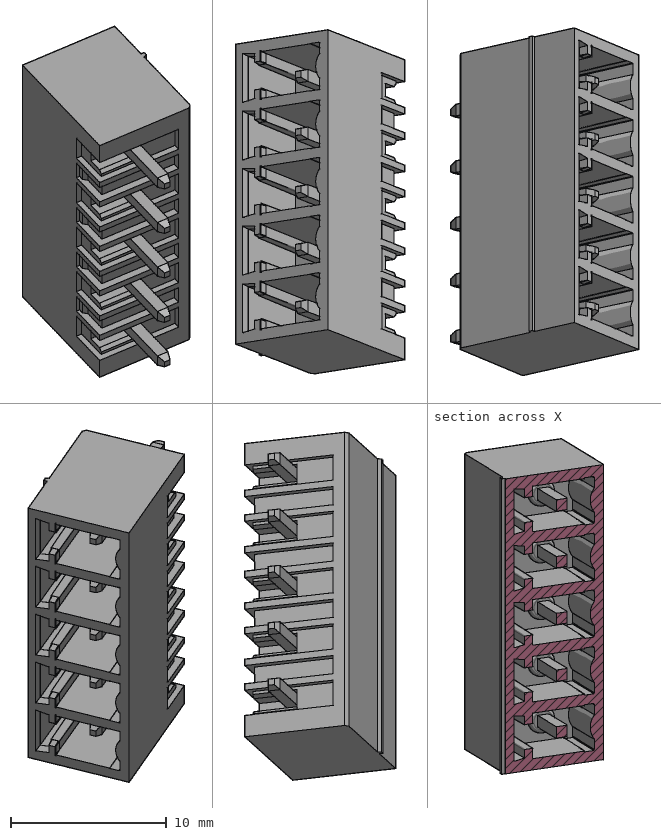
import cadquery as cq
import math

OVERALL_DEPTH = 7.25
HOUSING_LENGTH = 9.23
HOUSING_DEPTH = 7.0
HOUSING_HEIGHT = 19.85
CORNER_CHAMFER = 0.22
POLES = 5
POLE_PITCH = 3.81
FIRST_POLE_Z = (HOUSING_HEIGHT - (POLES - 1) * POLE_PITCH) / 2
pole_heights = [FIRST_POLE_Z + i * POLE_PITCH for i in range(POLES)]
gap_heights = [z + POLE_PITCH / 2 for z in pole_heights[:-1]]

RIB_START = 3.15
RIB_WIDTH = 0.38
RIB_TOP_WIDTH = 0.25
RIB_HEIGHT = OVERALL_DEPTH - HOUSING_DEPTH

CAVITY_DEPTH = 6.15
CAVITY_FRONT_Y = 0.64
CAVITY_BACK_Y = 6.41
CAVITY_HALF_HEIGHT = 1.55
CAVITY_DRAFT = 0.07
BULGE_HALF_CHORD = 0.81
BULGE_RISE = 0.3
TAB_START_Y = 5.08
TAB_END_Y = 5.64
TAB_REACH = 0.7
TAB_ROOT_STEP = 0.12
LEAD_IN_GROWTH = 0.07
LEAD_IN_DEPTH = 0.58
RELIEF_END_Y = 1.35
RELIEF_HALF_HEIGHT = 1.57

PIN_Y = 3.0
PIN_SIZE = 0.8
PIN_TIP_SIZE = 0.42
PIN_TIP_LENGTH = 0.55
PIN_START_X = 1.15
PIN_END_X = 12.6
BOSS_DIAMETER = 1.8
BOSS_HEIGHT = 0.4
BOSS_FILLET = 0.24

RECESS_START_X = 6.45
POLE_RECESS_HEIGHT = 1.7
POLE_RECESS_DEPTH = 0.4
POLE_BACK_X = 8.8
PIN_SLOT_START_X = 7.55
PIN_SLOT_CLEARANCE = 0.04
PIN_SLOT_HEIGHT = PIN_SIZE + 2 * PIN_SLOT_CLEARANCE
PIN_SLOT_FLARE = 0.22
GAP_RECESS_HEIGHT = 1.23
GAP_STEP_DEPTH = 0.24
GAP_STEP_END_X = 6.79
GAP_RECESS_DEPTH = 0.5
GAP_RAMP_END_X = 7.07
GAP_BACK_X = 8.71
RECESS_BACK_Y = 6.0


def box(x_range, y_range, z_center, height):
    """Box spanning the X and Y ranges, centred on z_center."""
    return (
        cq.Workplane("XY", origin=(x_range[0], y_range[0], z_center - height / 2))
        .box(x_range[1] - x_range[0], y_range[1] - y_range[0], height, centered=False)
    )


def make_housing():
    block = cq.Workplane("XY").box(HOUSING_LENGTH, HOUSING_DEPTH, HOUSING_HEIGHT, centered=False)
    block = block.edges("|Z and >X and >Y").chamfer(CORNER_CHAMFER)
    rib = (
        cq.Workplane("XY")
        .moveTo(RIB_START, HOUSING_DEPTH)
        .line(0, RIB_HEIGHT)
        .line(RIB_TOP_WIDTH, 0)
        .lineTo(RIB_START + RIB_WIDTH, HOUSING_DEPTH)
        .close()
        .extrude(HOUSING_HEIGHT)
    )
    return block.union(rib)


def tapered_cavity(depth, inset, growth=0.0):
    """Cavity prism with its mouth grown outwards, narrowing by inset over its depth."""
    front = CAVITY_FRONT_Y - growth
    back = CAVITY_BACK_Y + growth
    half = CAVITY_HALF_HEIGHT + growth
    tab_start = TAB_START_Y + growth
    tab_end = TAB_END_Y - growth
    tab_tip = CAVITY_HALF_HEIGHT - TAB_REACH + growth
    tab_root = half - TAB_ROOT_STEP
    return (
        cq.Workplane("YZ")
        .moveTo(front, BULGE_HALF_CHORD)
        .lineTo(front, half)
        .lineTo(tab_start, half)
        .lineTo(tab_start, tab_tip)
        .lineTo(tab_end, tab_tip)
        .lineTo(tab_end, tab_root)
        .lineTo(back, half)
        .lineTo(back, -half)
        .lineTo(tab_end, -tab_root)
        .lineTo(tab_end, -tab_tip)
        .lineTo(tab_start, -tab_tip)
        .lineTo(tab_start, -half)
        .lineTo(front, -half)
        .lineTo(front, -BULGE_HALF_CHORD)
        .threePointArc((front + BULGE_RISE, 0), (front, BULGE_HALF_CHORD))
        .close()
        .extrude(depth, taper=math.degrees(math.atan(inset / depth)))
    )


def make_latch_lead_in():
    """Flared mouth around the latch tabs, about z = 0."""
    flare = tapered_cavity(LEAD_IN_DEPTH, LEAD_IN_GROWTH, LEAD_IN_GROWTH)
    latch_zone = box((0, LEAD_IN_DEPTH), (TAB_START_Y, HOUSING_DEPTH), 0, POLE_PITCH)
    return flare.intersect(latch_zone)


def make_corner_relief():
    """Undrafted clearance along both front corners of the cavity, about z = 0."""
    y_range = (CAVITY_FRONT_Y + CAVITY_DRAFT, RELIEF_END_Y)
    relief = box((0, CAVITY_DEPTH), y_range, 0, 2 * RELIEF_HALF_HEIGHT)
    return relief.cut(box((0, CAVITY_DEPTH), y_range, 0, 2 * BULGE_HALF_CHORD))


def make_pole_recess():
    """Rear recess about z = 0 for one pin, with the flared slot the pin lies in."""
    half_slot = PIN_SLOT_HEIGHT / 2
    recess = box((RECESS_START_X, HOUSING_LENGTH), (0, POLE_RECESS_DEPTH), 0, POLE_RECESS_HEIGHT)
    back = box((POLE_BACK_X, HOUSING_LENGTH), (0, RECESS_BACK_Y), 0, POLE_RECESS_HEIGHT)
    slot = (
        cq.Workplane("XZ")
        .moveTo(PIN_SLOT_START_X, half_slot)
        .lineTo(POLE_BACK_X - PIN_SLOT_FLARE, half_slot)
        .lineTo(POLE_BACK_X, half_slot + PIN_SLOT_FLARE)
        .lineTo(POLE_BACK_X, -half_slot - PIN_SLOT_FLARE)
        .lineTo(POLE_BACK_X - PIN_SLOT_FLARE, -half_slot)
        .lineTo(PIN_SLOT_START_X, -half_slot)
        .close()
        .extrude(-(PIN_Y + PIN_SIZE / 2))
    )
    return recess.union(back).union(slot)


def make_gap_recess():
    """Rear recess about z = 0 between two poles: a shallow step, a ramp and a deeper floor."""
    return (
        cq.Workplane("XY", origin=(0, 0, -GAP_RECESS_HEIGHT / 2))
        .moveTo(RECESS_START_X, 0)
        .lineTo(RECESS_START_X, GAP_STEP_DEPTH)
        .lineTo(GAP_STEP_END_X, GAP_STEP_DEPTH)
        .lineTo(GAP_RAMP_END_X, GAP_RECESS_DEPTH)
        .lineTo(GAP_BACK_X, GAP_RECESS_DEPTH)
        .lineTo(GAP_BACK_X, RECESS_BACK_Y)
        .lineTo(HOUSING_LENGTH, RECESS_BACK_Y)
        .lineTo(HOUSING_LENGTH, 0)
        .close()
        .extrude(GAP_RECESS_HEIGHT)
    )


def make_pin():
    """Square pin about z = 0 with pyramid tips and a rounded boss on the cavity floor."""
    tip_taper = math.degrees(math.atan((PIN_SIZE - PIN_TIP_SIZE) / 2 / PIN_TIP_LENGTH))
    shank_start = PIN_START_X + PIN_TIP_LENGTH
    shank_end = PIN_END_X - PIN_TIP_LENGTH

    def section(x):
        return cq.Workplane("YZ", origin=(x, PIN_Y, 0)).rect(PIN_SIZE, PIN_SIZE)

    shank = section(shank_start).extrude(shank_end - shank_start)
    front_tip = section(shank_start).extrude(-PIN_TIP_LENGTH, taper=tip_taper)
    rear_tip = section(shank_end).extrude(PIN_TIP_LENGTH, taper=tip_taper)
    boss = (
        cq.Workplane("YZ", origin=(CAVITY_DEPTH - BOSS_HEIGHT, PIN_Y, 0))
        .circle(BOSS_DIAMETER / 2)
        .extrude(BOSS_HEIGHT)
        .faces("<X")
        .edges()
        .fillet(BOSS_FILLET)
    )
    return shank.union(front_tip).union(rear_tip).union(boss)


result = make_housing()
pole_cuts = [
    tapered_cavity(CAVITY_DEPTH, CAVITY_DRAFT),
    make_latch_lead_in(),
    make_corner_relief(),
    make_pole_recess(),
]
gap_recess = make_gap_recess()
pin = make_pin()

for z in gap_heights:
    result = result.cut(gap_recess.translate((0, 0, z)))
for z in pole_heights:
    for pole_cut in pole_cuts:
        result = result.cut(pole_cut.translate((0, 0, z)))
    result = result.union(pin.translate((0, 0, z)))